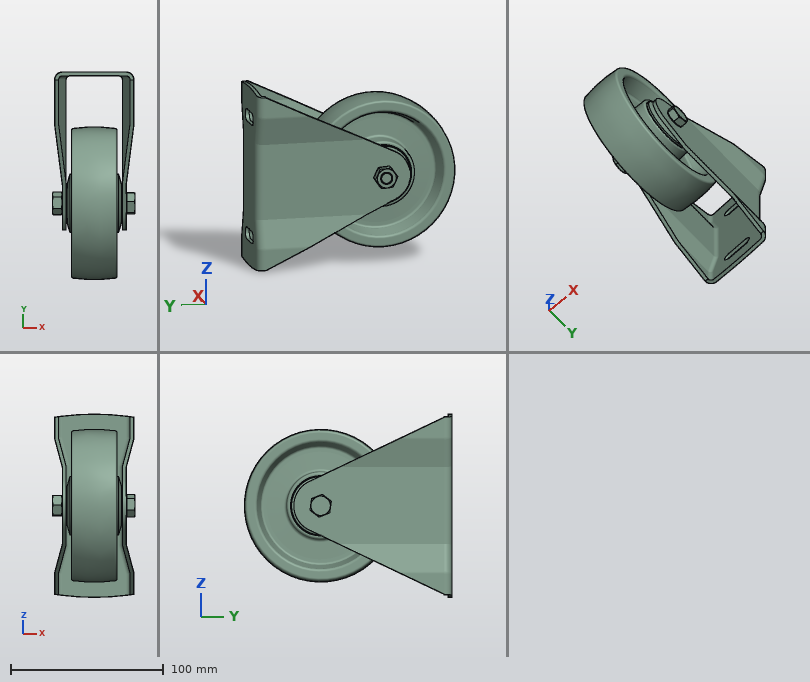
import cadquery as cq
import math


WHEEL_RADIUS = 50.0
WHEEL_HALF_WIDTH = 15.0
TREAD_EDGE_RADIUS = 49.0
TREAD_EDGE_ROUND = 1.5
RIM_INNER_RADIUS = 43.4
RIM_LIP_ROUND = 1.9
RIM_ROOT_RADIUS = 39.0
RIM_ROOT_ROUND = 1.6
WEB_FLAT_RADIUS = 35.2
WEB_RIM_HALF_THICKNESS = 2.2
WEB_HUB_HALF_THICKNESS = 2.7
HUB_ROOT_RADIUS = 22.3
HUB_ROOT_ROUND = 1.8
HUB_END_RADIUS = 21.9
HUB_EDGE_ROUND = 1.4
CAP_GROOVE_WIDTH = 0.7
CAP_GROOVE_DEPTH = 0.7
CAP_RADIUS = 19.0
CAP_EDGE_X = 15.9
CAP_FACE_RADIUS = 12.8
CAP_FACE_X = 17.8
SPACER_RADIUS = 9.8

SHEET = 2.6
BEND_RADIUS = 2 * SHEET
AXIS_TO_PLATE_BACK = 85.9
PLATE_HALF_HEIGHT = 60.0
PLATE_CORNER_HEIGHT = 57.9
WIDE_HALF_WIDTH = 26.0
NARROW_HALF_WIDTH = 20.9
NARROW_END_Z = 25.1
WIDE_START_Z = 43.9
ARM_END_RADIUS = 17.5
SLOT_LENGTH = 22.0
SLOT_HEIGHT = 8.0
SLOT_Z = 39.7

BOLT_RADIUS = 4.0
HEX_ACROSS_FLATS = 13.0
HEX_CHAMFER = 0.7
NUT_THICKNESS = 6.5
NUT_TURN = -4.5
HEAD_THICKNESS = 5.8
HEAD_TURN = 22
WASHER_FACE_THICKNESS = 0.4
WASHER_FACE_RADIUS = 6.3
BOLT_END_RECESS = 0.4
BOLT_END_CHAMFER = 0.5

TREAD_EDGE_X = WHEEL_HALF_WIDTH - TREAD_EDGE_ROUND
ARM_INNER_X = NARROW_HALF_WIDTH - SHEET
HEX_CORNER_RADIUS = HEX_ACROSS_FLATS / math.sqrt(3)


def cylinder_along_x(radius, x_start, x_end):
    return cq.Workplane("YZ").workplane(offset=x_start).circle(radius).extrude(x_end - x_start)



def flared_block(narrow, wide, narrow_end, wide_start, corner_z, crown_z, back_y, rounded_z, back_round):
    """Block narrow in the middle and wide at both ends, with crowned ends and a rounded back."""
    block = (
        cq.Workplane("XZ", origin=(0, back_y, 0))
        .moveTo(narrow, -narrow_end)
        .lineTo(narrow, narrow_end)
        .lineTo(wide, wide_start)
        .lineTo(wide, corner_z)
        .threePointArc((0, crown_z), (-wide, corner_z))
        .lineTo(-wide, wide_start)
        .lineTo(-narrow, narrow_end)
        .lineTo(-narrow, -narrow_end)
        .lineTo(-wide, -wide_start)
        .lineTo(-wide, -corner_z)
        .threePointArc((0, -crown_z), (wide, -corner_z))
        .lineTo(wide, -wide_start)
        .close()
        .extrude(back_y + ARM_END_RADIUS)
    )
    block = (
        block.edges("|Y")
        .filter(lambda edge: math.isclose(abs(edge.Center().z), rounded_z, abs_tol=0.01))
        .fillet(BEND_RADIUS)
    )
    return (
        block.faces(">Y").edges()
        .filter(lambda edge: abs(edge.Center().x) > narrow / 2)
        .fillet(back_round)
    )


def side_outline():
    """Bracket seen along X: tall at the plate, tapering to a round arm end about the axis."""
    bend_y = AXIS_TO_PLATE_BACK - BEND_RADIUS
    corner_distance = math.hypot(bend_y, PLATE_CORNER_HEIGHT)
    tangent_angle = math.atan2(PLATE_CORNER_HEIGHT, bend_y) + math.acos(ARM_END_RADIUS / corner_distance)
    tangent_y = ARM_END_RADIUS * math.cos(tangent_angle)
    tangent_z = ARM_END_RADIUS * math.sin(tangent_angle)
    return (
        cq.Workplane("YZ", origin=(-WIDE_HALF_WIDTH, 0, 0))
        .moveTo(AXIS_TO_PLATE_BACK, PLATE_HALF_HEIGHT)
        .lineTo(bend_y, PLATE_HALF_HEIGHT)
        .lineTo(bend_y, PLATE_CORNER_HEIGHT)
        .lineTo(tangent_y, tangent_z)
        .threePointArc((-ARM_END_RADIUS, 0), (tangent_y, -tangent_z))
        .lineTo(bend_y, -PLATE_CORNER_HEIGHT)
        .lineTo(bend_y, -PLATE_HALF_HEIGHT)
        .lineTo(AXIS_TO_PLATE_BACK, -PLATE_HALF_HEIGHT)
        .close()
        .extrude(2 * WIDE_HALF_WIDTH)
    )


def make_bracket():
    outside = flared_block(
        NARROW_HALF_WIDTH, WIDE_HALF_WIDTH, NARROW_END_Z, WIDE_START_Z,
        PLATE_CORNER_HEIGHT, PLATE_HALF_HEIGHT, AXIS_TO_PLATE_BACK, WIDE_START_Z, BEND_RADIUS,
    )
    flare_angle = math.atan2(WIDE_HALF_WIDTH - NARROW_HALF_WIDTH, WIDE_START_Z - NARROW_END_Z)
    bend_shift = SHEET * math.tan(flare_angle / 2)
    inner_narrow_end = NARROW_END_Z + bend_shift
    cavity = flared_block(
        ARM_INNER_X, WIDE_HALF_WIDTH - SHEET, inner_narrow_end, WIDE_START_Z + bend_shift,
        PLATE_CORNER_HEIGHT + SHEET, PLATE_HALF_HEIGHT + SHEET,
        AXIS_TO_PLATE_BACK - SHEET, inner_narrow_end, BEND_RADIUS - SHEET,
    )
    slots = (
        cq.Workplane("XZ", origin=(0, AXIS_TO_PLATE_BACK, 0))
        .pushPoints([(0, SLOT_Z), (0, -SLOT_Z)])
        .slot2D(SLOT_LENGTH, SLOT_HEIGHT)
        .extrude(SHEET)
    )
    bolt_hole = cylinder_along_x(BOLT_RADIUS, -NARROW_HALF_WIDTH, NARROW_HALF_WIDTH)
    return outside.cut(cavity).intersect(side_outline()).cut(slots).cut(bolt_hole)



def make_wheel_half():
    """Revolved half of the wheel on its +X side, from the middle plane outwards."""
    rim_wall_top = RIM_INNER_RADIUS - RIM_LIP_ROUND
    rim_root_x = WEB_RIM_HALF_THICKNESS + RIM_ROOT_ROUND
    groove_radius = CAP_RADIUS + CAP_GROOVE_WIDTH
    hub_root_x = WEB_HUB_HALF_THICKNESS + HUB_ROOT_ROUND
    mid_share = 1 - math.sqrt(0.5)

    def round_mid(corner_x, corner_r, size, x_side, r_side):
        """Middle of a quarter round at the given square corner; the signs point to its centre."""
        return (corner_x + x_side * size * mid_share, corner_r + r_side * size * mid_share)

    return (
        cq.Workplane("XY")
        .moveTo(0, BOLT_RADIUS)
        .lineTo(ARM_INNER_X, BOLT_RADIUS)
        .lineTo(ARM_INNER_X, SPACER_RADIUS)
        .lineTo(CAP_FACE_X, SPACER_RADIUS)
        .lineTo(CAP_FACE_X, CAP_FACE_RADIUS)
        .lineTo(CAP_EDGE_X, CAP_RADIUS)
        .lineTo(WHEEL_HALF_WIDTH - CAP_GROOVE_DEPTH, CAP_RADIUS)
        .lineTo(WHEEL_HALF_WIDTH - CAP_GROOVE_DEPTH, groove_radius)
        .lineTo(WHEEL_HALF_WIDTH, groove_radius)
        .lineTo(WHEEL_HALF_WIDTH, HUB_END_RADIUS - HUB_EDGE_ROUND)
        .threePointArc(
            round_mid(WHEEL_HALF_WIDTH, HUB_END_RADIUS, HUB_EDGE_ROUND, -1, -1),
            (WHEEL_HALF_WIDTH - HUB_EDGE_ROUND, HUB_END_RADIUS),
        )
        .lineTo(hub_root_x, HUB_ROOT_RADIUS)
        .threePointArc(
            round_mid(WEB_HUB_HALF_THICKNESS, HUB_ROOT_RADIUS, HUB_ROOT_ROUND, 1, 1),
            (WEB_HUB_HALF_THICKNESS, HUB_ROOT_RADIUS + HUB_ROOT_ROUND),
        )
        .lineTo(WEB_RIM_HALF_THICKNESS, WEB_FLAT_RADIUS)
        .lineTo(WEB_RIM_HALF_THICKNESS, RIM_ROOT_RADIUS - RIM_ROOT_ROUND)
        .threePointArc(
            round_mid(WEB_RIM_HALF_THICKNESS, RIM_ROOT_RADIUS, RIM_ROOT_ROUND, 1, -1),
            (rim_root_x, RIM_ROOT_RADIUS),
        )
        .lineTo(WHEEL_HALF_WIDTH - RIM_LIP_ROUND, rim_wall_top)
        .threePointArc(
            round_mid(WHEEL_HALF_WIDTH, rim_wall_top, RIM_LIP_ROUND, -1, 1),
            (WHEEL_HALF_WIDTH, RIM_INNER_RADIUS),
        )
        .lineTo(WHEEL_HALF_WIDTH, TREAD_EDGE_RADIUS - TREAD_EDGE_ROUND)
        .threePointArc(
            round_mid(WHEEL_HALF_WIDTH, TREAD_EDGE_RADIUS, TREAD_EDGE_ROUND, -1, -1),
            (TREAD_EDGE_X, TREAD_EDGE_RADIUS),
        )
        .lineTo(0, TREAD_EDGE_RADIUS)
        .close()
        .revolve(360, (0, 0, 0), (1, 0, 0))
    )


def make_tread_crown():
    """Barrel core whose outside is one arc across the tread, highest on the middle plane."""
    return (
        cq.Workplane("XY")
        .moveTo(-TREAD_EDGE_X, RIM_INNER_RADIUS)
        .lineTo(-TREAD_EDGE_X, TREAD_EDGE_RADIUS)
        .threePointArc((0, WHEEL_RADIUS), (TREAD_EDGE_X, TREAD_EDGE_RADIUS))
        .lineTo(TREAD_EDGE_X, RIM_INNER_RADIUS)
        .close()
        .revolve(360, (0, 0, 0), (1, 0, 0))
    )


def make_wheel():
    half = make_wheel_half()
    return half.union(half.mirror("YZ")).union(make_tread_crown())



def chamfered_hex(x_start, x_end, turn, chamfered_faces):
    """Hexagonal block along X, with 30 degree corner chamfers on the selected end faces."""
    hexagon = (
        cq.Workplane("YZ", origin=(x_start, 0, 0))
        .polygon(6, 2 * HEX_CORNER_RADIUS)
        .extrude(x_end - x_start)
        .rotate((0, 0, 0), (1, 0, 0), turn)
    )
    envelope = (
        cylinder_along_x(HEX_CORNER_RADIUS, x_start, x_end)
        .faces(chamfered_faces)
        .chamfer(HEX_CHAMFER, HEX_CHAMFER * math.sqrt(3))
    )
    return hexagon.intersect(envelope)


def make_nut():
    outer_x = -NARROW_HALF_WIDTH - NUT_THICKNESS
    nut = chamfered_hex(outer_x, -NARROW_HALF_WIDTH, NUT_TURN, "|X")
    return nut.cut(cylinder_along_x(BOLT_RADIUS, outer_x, -NARROW_HALF_WIDTH))


def make_bolt():
    end_x = -NARROW_HALF_WIDTH - NUT_THICKNESS + BOLT_END_RECESS
    head_x = NARROW_HALF_WIDTH + WASHER_FACE_THICKNESS
    shank = cylinder_along_x(BOLT_RADIUS, end_x, head_x).faces("<X").chamfer(BOLT_END_CHAMFER)
    washer_face = cylinder_along_x(WASHER_FACE_RADIUS, NARROW_HALF_WIDTH, head_x)
    head = chamfered_hex(head_x, NARROW_HALF_WIDTH + HEAD_THICKNESS, HEAD_TURN, ">X")
    return shank.union(washer_face).union(head)


bracket = make_bracket()
wheel = make_wheel()
bolt = make_bolt()
nut = make_nut()

result = cq.Compound.makeCompound([bracket.val(), wheel.val(), bolt.val(), nut.val()])